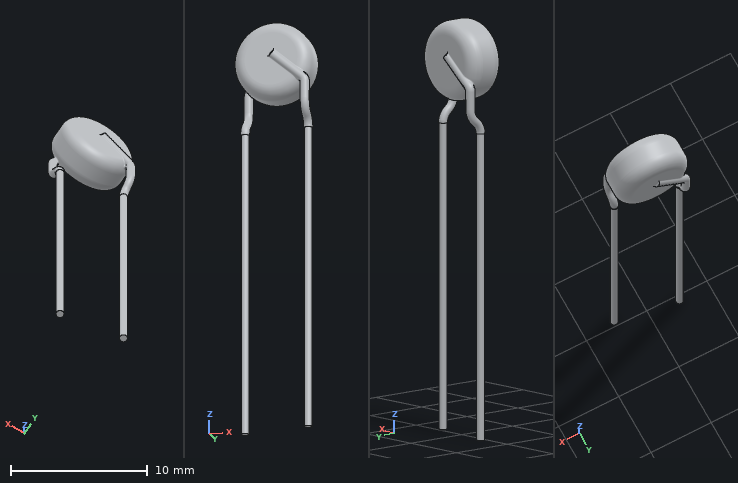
import cadquery as cq
import math


def bend_across(radius, angle):
    """Sideways travel along a bend that leaves its start direction by an angle in degrees."""
    return radius * (1 - math.cos(math.radians(angle)))


def bend_along(radius, angle):
    """Travel in the start direction along the same bend."""
    return radius * math.sin(math.radians(angle))


disc_diameter = 6.0
disc_thickness = 3.1
disc_edge_radius = 1.0

overall_depth = 3.5
coat_diameter = 0.7
lead_pitch = 5.0
root_fillet = 0.1

slope_angle = 50.0
slope_length = 3.0
slope_bend_radius = 0.5
slope_bend_bottom = -1.88

s_bend_top = -3.22
s_bend_radius = 1.2
s_bend_angle = 55.0
s_end_angle = 10.0
coat_bottom = -5.13

wire_diameter = 0.6
overall_height = 31.0
wire_bottom = disc_diameter / 2 - overall_height
rim_radius = (coat_diameter - wire_diameter) / 2

neck_x = lead_pitch / 2
neck_y = -(overall_depth - coat_diameter) / 2
s_middle_y = neck_y + bend_across(s_bend_radius, s_bend_angle)
s_middle_z = s_bend_top - bend_along(s_bend_radius, s_bend_angle)
wire_y = s_middle_y + bend_across(s_bend_radius, s_bend_angle) - bend_across(s_bend_radius, s_end_angle)


def make_disc():
    back = cq.Workplane("XZ", origin=(0, disc_thickness / 2, 0))
    blank = back.circle(disc_diameter / 2).extrude(disc_thickness)
    return blank.edges("%CIRCLE").fillet(disc_edge_radius)


def upper_s(angle):
    """Point on the S-bend's upper half, where the centreline leans by an angle from vertical."""
    across = bend_across(s_bend_radius, angle)
    return cq.Vector(neck_x, neck_y + across, s_bend_top - bend_along(s_bend_radius, angle))


def lower_s(angle):
    """Point on the S-bend's lower half, where the centreline leans by an angle from vertical."""
    across = bend_across(s_bend_radius, s_bend_angle) - bend_across(s_bend_radius, angle)
    down = bend_along(s_bend_radius, s_bend_angle) - bend_along(s_bend_radius, angle)
    return cq.Vector(neck_x, s_middle_y + across, s_middle_z - down)


def slope_bend(angle):
    """Point on the bend between the vertical stretch and the sloping run."""
    across = bend_across(slope_bend_radius, angle)
    return cq.Vector(neck_x - across, neck_y, slope_bend_bottom + bend_along(slope_bend_radius, angle))


def bend(point_at, start_angle, end_angle):
    middle = point_at((start_angle + end_angle) / 2)
    return cq.Edge.makeThreePointArc(point_at(start_angle), middle, point_at(end_angle))


def neck_path():
    """Centreline of the neck on the -Y face, from above the collar to the end of the sloping run."""
    slope = math.radians(slope_angle)
    slope_start = slope_bend(slope_angle)
    slope_end = slope_start + cq.Vector(-math.sin(slope), 0, math.cos(slope)) * slope_length
    return cq.Wire.assembleEdges([
        bend(lower_s, s_end_angle, s_bend_angle),
        bend(upper_s, s_bend_angle, 0),
        cq.Edge.makeLine(upper_s(0), slope_bend(0)),
        bend(slope_bend, 0, slope_angle),
        cq.Edge.makeLine(slope_start, slope_end),
    ])


def make_neck():
    """Swept tube, with a collar that takes its leaning lower end down to a level rim."""
    lean = math.radians(s_end_angle)
    tube_end = cq.Plane(lower_s(s_end_angle), xDir=(1, 0, 0), normal=(0, -math.sin(lean), math.cos(lean)))
    rim = cq.Plane((neck_x, wire_y, coat_bottom), xDir=(1, 0, 0), normal=(0, 0, 1))
    end_circle = cq.Workplane(tube_end).circle(coat_diameter / 2)
    rim_circle = cq.Workplane(rim).circle(coat_diameter / 2)
    tube = end_circle.sweep(cq.Workplane(neck_path()))
    collar = cq.Workplane(cq.Solid.makeLoft([rim_circle.val(), end_circle.val()], True))
    return tube.union(collar.edges("<Z").fillet(rim_radius))


def make_wire():
    start = cq.Workplane("XY", origin=(neck_x, wire_y, wire_bottom))
    return start.circle(wire_diameter / 2).extrude(coat_bottom - wire_bottom)


def half_turn(body):
    return body.rotate((0, 0, 0), (0, 0, 1), 180)


def is_root_edge(edge):
    """True where a neck meets the disc: straight on the flat faces, free-form on the rounded edge."""
    middle = edge.Center()
    on_flat = math.isclose(abs(middle.y), disc_thickness / 2, abs_tol=1e-4)
    on_rounding = edge.geomType() == "BSPLINE" and middle.z > s_bend_top
    return on_rounding or (on_flat and edge.geomType() == "LINE")


def make_housing():
    disc = make_disc()
    neck = make_neck()
    housing = disc.union(neck).union(half_turn(neck))
    return housing.edges().filter(is_root_edge).fillet(root_fillet)


housing = make_housing()
wire = make_wire()
result = cq.Compound.makeCompound([housing.val(), wire.val(), half_turn(wire).val()])